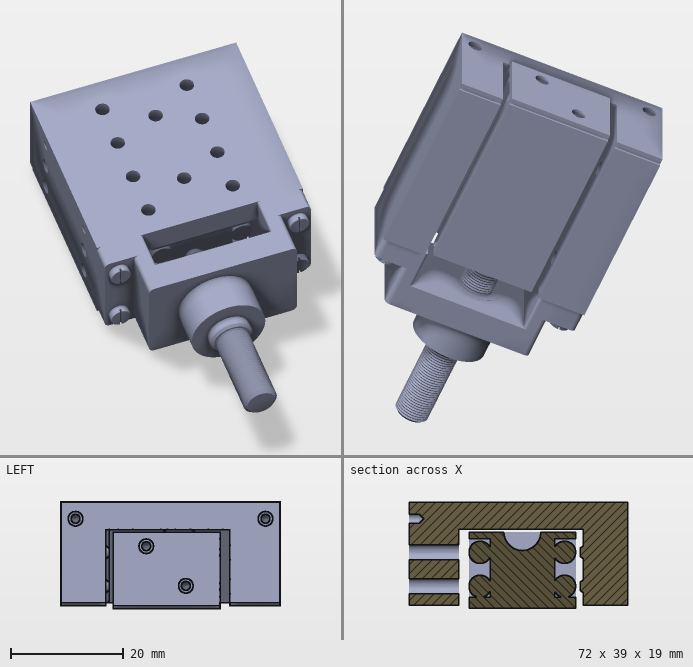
import cadquery as cq
import math


OVERLAP = 0.15

BLOCK_WIDTH = 39.0
BLOCK_TOP = 19.0
BLOCK_START = 1.0
PAD_START = 2.1
PAD_END = 35.85
PAD_BOTTOM = 0.5
END_BOTTOM = 1.0
SHOULDER_X = 39.95
EDGE_RADIUS = 1.0

CHANNEL_Y_MIN = -10.6
CHANNEL_Y_MAX = 11.5
CHANNEL_ROOF = 14.05

BRACKET_WIDTH = 28.0
BRACKET_END = 47.95
WINDOW_END = 43.0
WINDOW_HALF_WIDTH = 10.9
WINDOW_EDGE_RADIUS = 0.6

SCREW_Y = -1.5
SCREW_Z = (BLOCK_TOP + END_BOTTOM) / 2
BUSH_RADIUS = 4.6
BUSH_PROTRUSION = 0.035
BARREL_RADIUS = 7.0
BARREL_END = 54.9
COLLAR_RADIUS = 3.95
COLLAR_END = 56.95
COLLAR_CHAMFER = 0.4
THREAD_RADIUS = 3.2
THREAD_DEPTH = 0.2
THREAD_PITCH = 0.5
THREAD_START = 38.45
THREAD_END = 71.4
SCREW_END = 72.0
SCREW_END_RADIUS = 2.6
TIP_RADIUS = 1.95
TIP_X = PAD_END

TAP_RADIUS = 1.3
PILOT_RADIUS = 0.8
COUNTERBORE_DEPTH = 1.0
PILOT_DEPTH = 2.5
TOP_HOLE_FIRST_X = 7.0
TOP_HOLE_PITCH = 8.0
TOP_HOLE_COLUMNS = 4
TOP_HOLE_HALF_SPACING = 8.0
MIDDLE_HOLES_X = (11.5, 26.4)
MIDDLE_HOLE_Y = 0.4
SIDE_HOLES_X = (9.0, 29.0)
RAIL_CENTERS_Z = (3.95, 10.0)
SMALL_HOLE_DEPTH = 1.8
SET_SCREW_TIP_RADIUS = 0.7
SET_SCREW_TIP_LENGTH = 0.6

CORNER_Y = 16.9
UPPER_SCREW_Z = 16.0
LOWER_SCREW_Z = 2 * SCREW_Z - UPPER_SCREW_Z
HEAD_RADIUS = 1.9
HEAD_HEIGHT = 1.4
HEAD_EDGE_RADIUS = 0.15
HEAD_SLOT_WIDTH = 0.35
HEAD_SLOT_DEPTH = 0.6

SLIDER_Y_MIN = -8.85
SLIDER_Y_MAX = 10.2
SLIDER_MIDDLE_Y = (SLIDER_Y_MIN + SLIDER_Y_MAX) / 2
SLIDER_TOP = 13.6
SLIDER_END = 35.0
GROOVE_BOTTOM = 2.1
GROOVE_TOP = 12.4
GROOVE_DEPTH = 3.75
RAIL_RADIUS = 2.0
PLATE_HOLES_YZ = ((4.3, 11.1), (-2.7, 4.0))
TROUGH_RADIUS = 3.25
TROUGH_LENGTH = 5.75


def box(x_range, y_range, z_range):
    """A box between two limits on each axis."""
    size = [high - low for low, high in (x_range, y_range, z_range)]
    corner = (x_range[0], y_range[0], z_range[0])
    return cq.Workplane("XY").box(*size, centered=False).translate(corner)


def cylinder(start, direction, radius, length):
    return cq.Workplane(cq.Solid.makeCylinder(radius, length, cq.Vector(*start), cq.Vector(*direction)))


def cone(start, direction, base_radius, tip_radius, length):
    base, axis = cq.Vector(*start), cq.Vector(*direction)
    return cq.Workplane(cq.Solid.makeCone(base_radius, tip_radius, length, base, axis))


def pilot_hole(start, direction, depth):
    """A narrow drilled hole with a conical bottom."""
    bottom = cq.Vector(*start) + cq.Vector(*direction) * depth
    drill_point = cone(bottom.toTuple(), direction, PILOT_RADIUS, 0, PILOT_RADIUS)
    return cylinder(start, direction, PILOT_RADIUS, depth).union(drill_point)


def counterbored_hole(start):
    """A hole along +X whose narrower pilot goes on past the counterbore."""
    counterbore = cylinder(start, (1, 0, 0), TAP_RADIUS, COUNTERBORE_DEPTH)
    return counterbore.union(pilot_hole(start, (1, 0, 0), PILOT_DEPTH))


def stage_blank():
    """Full-width block, its lower pad and the narrower bracket behind it."""
    half_width = BLOCK_WIDTH / 2
    half_bracket = BRACKET_WIDTH / 2
    full_width = (-half_width, half_width)
    front = box((BLOCK_START, PAD_END), full_width, (END_BOTTOM, BLOCK_TOP))
    pad = box((PAD_START, PAD_END), full_width, (PAD_BOTTOM, END_BOTTOM))
    shoulder = box((PAD_END, SHOULDER_X), full_width, (END_BOTTOM, BLOCK_TOP))
    bracket = box((SHOULDER_X, BRACKET_END), (-half_bracket, half_bracket), (END_BOTTOM, BLOCK_TOP))
    shoulder = shoulder.edges("|X").fillet(EDGE_RADIUS)
    bracket = bracket.edges("|X").fillet(EDGE_RADIUS)
    return front.union(pad).union(shoulder).union(bracket)


def channel():
    return box((0, PAD_END), (CHANNEL_Y_MIN, CHANNEL_Y_MAX), (0, CHANNEL_ROOF))


def window():
    """Opening through the bracket whose two side walls have rounded top and bottom edges."""
    outer = WINDOW_HALF_WIDTH + WINDOW_EDGE_RADIUS
    low = END_BOTTOM + WINDOW_EDGE_RADIUS
    high = BLOCK_TOP - WINDOW_EDGE_RADIUS
    bulge = WINDOW_EDGE_RADIUS * (1 - math.sqrt(0.5))
    profile = (
        cq.Workplane("YZ", origin=(PAD_END, 0, 0))
        .moveTo(-outer, END_BOTTOM)
        .lineTo(outer, END_BOTTOM)
        .threePointArc((WINDOW_HALF_WIDTH + bulge, END_BOTTOM + bulge), (WINDOW_HALF_WIDTH, low))
        .lineTo(WINDOW_HALF_WIDTH, high)
        .threePointArc((WINDOW_HALF_WIDTH + bulge, BLOCK_TOP - bulge), (outer, BLOCK_TOP))
        .lineTo(-outer, BLOCK_TOP)
        .threePointArc((-WINDOW_HALF_WIDTH - bulge, BLOCK_TOP - bulge), (-WINDOW_HALF_WIDTH, high))
        .lineTo(-WINDOW_HALF_WIDTH, low)
        .threePointArc((-WINDOW_HALF_WIDTH - bulge, END_BOTTOM + bulge), (-outer, END_BOTTOM))
        .close()
    )
    return profile.extrude(WINDOW_END - PAD_END)


def top_holes():
    """Mounting holes through the roof of the channel."""
    rows = (-TOP_HOLE_HALF_SPACING, TOP_HOLE_HALF_SPACING)
    columns = [TOP_HOLE_FIRST_X + i * TOP_HOLE_PITCH for i in range(TOP_HOLE_COLUMNS)]
    places = [(x, y) for x in columns for y in rows]
    places += [(x, MIDDLE_HOLE_Y) for x in MIDDLE_HOLES_X]
    return [cylinder((x, y, BLOCK_TOP), (0, 0, -1), TAP_RADIUS, BLOCK_TOP - CHANNEL_ROOF) for x, y in places]


def side_holes():
    """Holes in the -Y wall: through holes level with the rails and blind pilot holes above them."""
    holes = []
    wall = -BLOCK_WIDTH / 2
    for x in SIDE_HOLES_X:
        for z in RAIL_CENTERS_Z:
            holes.append(cylinder((x, wall, z), (0, 1, 0), TAP_RADIUS, CHANNEL_Y_MIN - wall))
        holes.append(pilot_hole((x, wall, UPPER_SCREW_Z), (0, 1, 0), SMALL_HOLE_DEPTH))
    return holes


def corner_holes():
    """Counterbored blind holes in the -X face."""
    places = [(BLOCK_START, y, UPPER_SCREW_Z) for y in (-CORNER_Y, CORNER_Y)]
    return [counterbored_hole(place) for place in places]


def set_screw_tips():
    """Tapered set screw ends standing out of the +Y channel wall."""
    length = SET_SCREW_TIP_LENGTH + OVERLAP
    start_y = CHANNEL_Y_MAX + OVERLAP
    return [
        cone((x, start_y, z), (0, -1, 0), TAP_RADIUS, SET_SCREW_TIP_RADIUS, length)
        for x in SIDE_HOLES_X
        for z in RAIL_CENTERS_Z
    ]


def cap_screw_heads():
    """Slotted screw heads on the shoulder, two on each side of the bracket."""
    heads = []
    for y in (-CORNER_Y, CORNER_Y):
        for z in (LOWER_SCREW_Z, UPPER_SCREW_Z):
            head = cylinder((SHOULDER_X, y, z), (1, 0, 0), HEAD_RADIUS, HEAD_HEIGHT)
            head = head.faces(">X").edges().fillet(HEAD_EDGE_RADIUS)
            head_top = SHOULDER_X + HEAD_HEIGHT
            slot = box(
                (head_top - HEAD_SLOT_DEPTH, head_top),
                (y - HEAD_SLOT_WIDTH / 2, y + HEAD_SLOT_WIDTH / 2),
                (z - HEAD_RADIUS, z + HEAD_RADIUS),
            )
            heads.append(head.cut(slot))
    return heads


def thread_points(start, end):
    """Ring-shaped thread profile, as (X, radius) points from one X to another."""
    turns = round((end - start) / THREAD_PITCH)
    pitch = (end - start) / turns
    points = [(start, THREAD_RADIUS)]
    for turn in range(turns):
        points.append((start + (turn + 0.5) * pitch, THREAD_RADIUS - THREAD_DEPTH))
        points.append((start + (turn + 1) * pitch, THREAD_RADIUS))
    return points


def micrometer():
    """Screw with a ball tip, guide bush, barrel and collar, turned about the screw axis."""
    bush_start = WINDOW_END - BUSH_PROTRUSION
    ball_center = TIP_X + TIP_RADIUS
    ball_middle = TIP_RADIUS * math.sqrt(0.5)
    profile = cq.Workplane("XY").moveTo(TIP_X, 0)
    profile = profile.threePointArc((ball_center - ball_middle, ball_middle), (ball_center, TIP_RADIUS))
    for point in thread_points(THREAD_START, bush_start):
        profile = profile.lineTo(*point)
    profile = (
        profile.lineTo(bush_start, BUSH_RADIUS)
        .lineTo(BRACKET_END, BUSH_RADIUS)
        .lineTo(BRACKET_END, BARREL_RADIUS)
        .lineTo(BARREL_END, BARREL_RADIUS)
        .lineTo(BARREL_END, COLLAR_RADIUS)
        .lineTo(COLLAR_END - COLLAR_CHAMFER, COLLAR_RADIUS)
        .lineTo(COLLAR_END, COLLAR_RADIUS - COLLAR_CHAMFER)
    )
    for point in thread_points(COLLAR_END, THREAD_END):
        profile = profile.lineTo(*point)
    profile = profile.lineTo(SCREW_END, SCREW_END_RADIUS).lineTo(SCREW_END, 0).close()
    turned = profile.revolve(360, (0, 0, 0), (1, 0, 0))
    return turned.translate((0, SCREW_Y, SCREW_Z))


def make_stage():
    """Stage block with its bracket, screws and micrometer."""
    stage = stage_blank().cut(channel()).cut(window())
    for hole in top_holes() + side_holes() + corner_holes():
        stage = stage.cut(hole)
    for fitting in set_screw_tips() + cap_screw_heads() + [micrometer()]:
        stage = stage.union(fitting)
    return stage


def side_groove(face_y, inward):
    """Long groove in one side of the slider, measured inward from that side."""
    y_range = sorted((face_y, face_y + inward * GROOVE_DEPTH))
    return box((BLOCK_START, SLIDER_END), y_range, (GROOVE_BOTTOM, GROOVE_TOP))


def side_rails(face_y, inward):
    """Two round rails lying in a side groove, level with the side of the slider."""
    y = face_y + inward * RAIL_RADIUS
    length = SLIDER_END - BLOCK_START
    return [cylinder((BLOCK_START, y, z), (1, 0, 0), RAIL_RADIUS, length) for z in RAIL_CENTERS_Z]


def make_slider():
    """Slider with an end plate, railed sides and a round-bottomed trough in its top."""
    y_range = (SLIDER_Y_MIN, SLIDER_Y_MAX)
    plate = box((0, BLOCK_START), y_range, (PAD_BOTTOM, SLIDER_TOP))
    slider = plate.union(box((BLOCK_START, SLIDER_END), y_range, (0, SLIDER_TOP)))
    for face_y, inward in ((SLIDER_Y_MIN, 1), (SLIDER_Y_MAX, -1)):
        slider = slider.cut(side_groove(face_y, inward))
        for rail in side_rails(face_y, inward):
            slider = slider.union(rail)
    for y, z in PLATE_HOLES_YZ:
        slider = slider.cut(counterbored_hole((0, y, z)))
    trough_start = MIDDLE_HOLES_X[0] - TROUGH_LENGTH / 2
    trough_axis_start = (trough_start, SLIDER_MIDDLE_Y, SLIDER_TOP)
    return slider.cut(cylinder(trough_axis_start, (1, 0, 0), TROUGH_RADIUS, TROUGH_LENGTH))


stage = make_stage()
slider = make_slider()

result = cq.Compound.makeCompound([stage.solids().val(), slider.solids().val()])